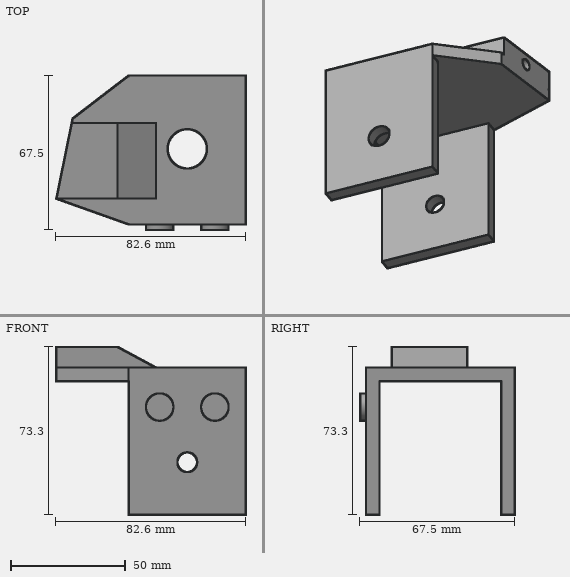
import cadquery as cq
import math


length = 82.6
width = 64.95
plate_thickness = 6.0
side_length = 51.1
side_height = 64.3
half_width = width / 2
side_center_x = -side_length / 2

nose_tip = (-length, -21.2)
nose_shoulder = (-75.5, 13.7)

block_height = 9.0
block_back_y = 11.7
block_ramp_top_x = -55.95
block_ramp_foot_x = -39.25

top_hole_diameter = 17.0
top_hole_y = 0.5
front_hole_diameter = 8.5
back_hole_diameter = 10.0
side_hole_z = -41.3
nose_hole_diameter = 5.1
nose_hole_depth = 20.0
nose_hole_y = -4.3
nose_hole_z = 3.55

pin_diameter = 12.0
pin_length = 2.5
pin_spacing = 24.05
pin_z = -17.3

face_run_x = nose_shoulder[0] - nose_tip[0]
face_run_y = nose_shoulder[1] - nose_tip[1]
face_length = math.hypot(face_run_x, face_run_y)


def face_x(y):
    """X of the slanted end face at a given Y."""
    return nose_tip[0] + face_run_x * (y - nose_tip[1]) / face_run_y


def make_top_plate():
    outline = [
        (0, -half_width),
        (0, half_width),
        (-side_length, half_width),
        nose_shoulder,
        nose_tip,
        (-side_length, -half_width),
    ]
    return cq.Workplane("XY").polyline(outline).close().extrude(-plate_thickness)


def make_side_plate(outer_y, inward):
    """Side plate with its outer face at outer_y; inward is the sign of Y toward the middle."""
    center_y = outer_y + inward * plate_thickness / 2
    return (
        cq.Workplane("XY")
        .center(side_center_x, center_y)
        .rect(side_length, plate_thickness)
        .extrude(-side_height)
    )


def make_block():
    """Block flush with the slanted end face, with a ramp down to the plate behind it."""
    front_y = nose_tip[1]
    footprint = [
        nose_tip,
        (block_ramp_foot_x, front_y),
        (block_ramp_foot_x, block_back_y),
        (face_x(block_back_y), block_back_y),
    ]
    profile = [
        (-length, -plate_thickness),
        (-length, block_height),
        (block_ramp_top_x, block_height),
        (block_ramp_foot_x, 0),
        (block_ramp_foot_x, -plate_thickness),
    ]
    prism = (
        cq.Workplane("XY", origin=(0, 0, -plate_thickness))
        .polyline(footprint).close()
        .extrude(plate_thickness + block_height)
    )
    ramp = (
        cq.Workplane("XZ", origin=(0, block_back_y, 0))
        .polyline(profile).close()
        .extrude(block_back_y - front_y)
    )
    return prism.intersect(ramp)


def make_pins():
    return (
        cq.Workplane("XZ", origin=(side_center_x, -half_width, pin_z))
        .pushPoints([(-pin_spacing / 2, 0), (pin_spacing / 2, 0)])
        .circle(pin_diameter / 2)
        .extrude(pin_length)
    )


def make_top_hole():
    return (
        cq.Workplane("XY")
        .center(side_center_x, top_hole_y)
        .circle(top_hole_diameter / 2)
        .extrude(-plate_thickness)
    )


def make_side_hole(outer_y, inward, diameter):
    return (
        cq.Workplane("XZ", origin=(side_center_x, outer_y, side_hole_z))
        .circle(diameter / 2)
        .extrude(-inward * plate_thickness)
    )


def make_nose_hole():
    """Blind hole drilled square to the slanted end face."""
    start = cq.Vector(face_x(nose_hole_y), nose_hole_y, nose_hole_z)
    direction = cq.Vector(face_run_y / face_length, -face_run_x / face_length, 0)
    return cq.Solid.makeCylinder(nose_hole_diameter / 2, nose_hole_depth, start, direction)


result = make_top_plate().union(make_block()).union(make_pins())
side_plates = [(-half_width, 1, front_hole_diameter), (half_width, -1, back_hole_diameter)]
for outer_y, inward, hole_diameter in side_plates:
    result = result.union(make_side_plate(outer_y, inward))
    result = result.cut(make_side_hole(outer_y, inward, hole_diameter))
result = result.cut(make_top_hole()).cut(make_nose_hole())